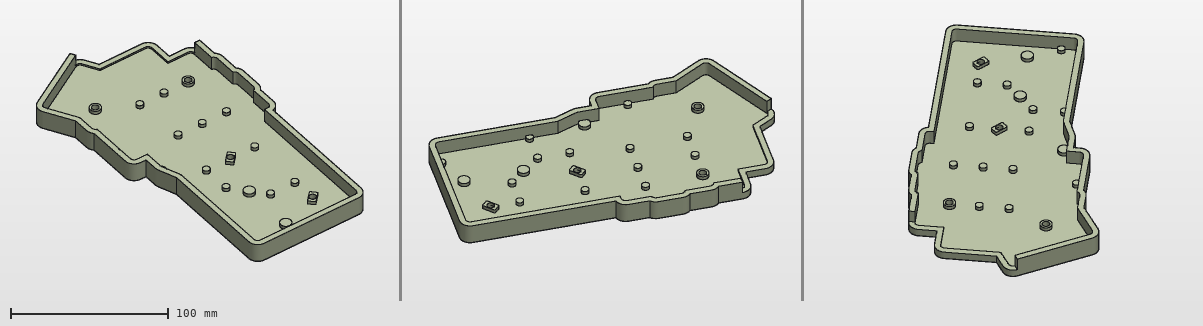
import cadquery as cq
import math

SCREW_HOLE_BOTTOM = 2.0
FLOOR_TOP = 4.1
LOW_WALL_TOP = 5.4
SUPPORT_TOP = 6.6
TRAY_HEIGHT = 14.1

WALL = 4.0
CAVITY_RADIUS = 3.0
OUTER_RADIUS = CAVITY_RADIUS + WALL

TRAY_LENGTH = 222.55
LEFT_COLUMN_X = 16.3
SECOND_COLUMN_X = 36.3
THIRD_COLUMN_X = 57.4
CROWN_LEFT_X = 76.7
CROWN_RIGHT_X = 98.8
CROWN_BLOCK_RIGHT_X = 117.9
ARM_LEFT_STEP_X = 70.5
ARM_RIGHT_X = 108.9
RIGHT_X = TRAY_LENGTH - WALL

TRAY_DEPTH = 126.85
CROWN_Y = TRAY_DEPTH - WALL
CROWN_BLOCK_Y = 120.65
SECOND_COLUMN_Y = 118.2
RIGHT_BLOCK_Y = 115.3
LEFT_COLUMN_Y = 99.4
RIGHT_FRONT_Y = 35.0
RAMP_FRONT_Y = 29.65
ARM_FRONT_Y = 18.4
ARM_LEFT_STEP_Y = 16.25

RAMP_START_X = 123.5
RAMP_END_X = 137.5

THUMB_ANGLE = math.radians(30)
THUMB_CORNER = (OUTER_RADIUS, 51.8)
THUMB_SIDE = (THUMB_CORNER[1] - OUTER_RADIUS) / math.cos(THUMB_ANGLE)
THUMB_REACH = 35.0

OVERLAP_X = 60.0
OVERLAP_Y = 60.0

POST_DIAMETER = 5.0
PAD_DIAMETER = 7.8
SCREW_HOLE_DIAMETER = 4.8

KEY_PITCH = 19.05
COLUMN_A_X = 59.2
COLUMN_B_X = COLUMN_A_X + 2 * KEY_PITCH
COLUMN_C_X = COLUMN_B_X + 2 * KEY_PITCH
COLUMN_D_X = COLUMN_C_X + 2.25 * KEY_PITCH
COLUMN_E_X = COLUMN_D_X + KEY_PITCH
COLUMN_A_Y = 60.4
COLUMN_B_Y = 62.4
COLUMN_C_Y = 56.6
MIDDLE_POST_X = 156.45

POSTS = [
    (COLUMN_A_X, COLUMN_A_Y),
    (COLUMN_A_X, COLUMN_A_Y + KEY_PITCH),
    (COLUMN_B_X, COLUMN_B_Y),
    (COLUMN_B_X, COLUMN_B_Y + KEY_PITCH),
    (COLUMN_B_X, COLUMN_B_Y + 2 * KEY_PITCH),
    (COLUMN_C_X, COLUMN_C_Y),
    (COLUMN_C_X, COLUMN_C_Y + 2 * KEY_PITCH),
    (COLUMN_D_X, COLUMN_C_Y + KEY_PITCH),
    (COLUMN_D_X, COLUMN_C_Y + 2 * KEY_PITCH),
    (MIDDLE_POST_X, COLUMN_C_Y),
    (MIDDLE_POST_X, 36.5),
    (87.8, 20.7),
    (216.4, 45.6),
]
PAD_Y = 66.15
PADS = [(168.3, PAD_Y), (207.3, PAD_Y), (119.3, 32.5)]
SCREW_RINGS = [(COLUMN_A_X, COLUMN_A_Y + 2 * KEY_PITCH), (45.7, 35.25)]

SCREW_BLOCKS = [
    (COLUMN_C_X, COLUMN_C_Y + KEY_PITCH),
    (COLUMN_E_X, COLUMN_C_Y + 2 * KEY_PITCH),
]
BLOCK_LENGTH = 9.2
BLOCK_WIDTH = 5.4
BLOCK_RADIUS = 0.6
BLOCK_ANGLE = -45


def rectangle(x_min, y_min, x_max, y_max):
    return [(x_min, y_min), (x_max, y_min), (x_max, y_max), (x_min, y_max)]


def thumb_outline():
    """Corners of the turned thumb rectangle."""
    cos_a = math.cos(THUMB_ANGLE)
    sin_a = math.sin(THUMB_ANGLE)
    r = CAVITY_RADIUS

    def turned(inward, along):
        x = THUMB_CORNER[0] + inward * cos_a + along * sin_a
        y = THUMB_CORNER[1] + inward * sin_a - along * cos_a
        return (x, y)

    far_side = THUMB_SIDE + r
    return [turned(-r, -r), turned(-r, far_side), turned(THUMB_REACH, far_side), turned(THUMB_REACH, -r)]


def ramp_outline():
    """Block whose front side has the slope between the arm and the right block."""
    slope = (RIGHT_FRONT_Y - RAMP_FRONT_Y) / (RAMP_END_X - RAMP_START_X)
    overlap = 4 * CAVITY_RADIUS
    inner_x = RAMP_END_X + overlap
    inner_y = RIGHT_FRONT_Y + slope * (inner_x - RAMP_END_X)
    left_x = ARM_RIGHT_X - overlap
    return [
        (left_x, RAMP_FRONT_Y),
        (RAMP_START_X, RAMP_FRONT_Y),
        (inner_x, inner_y),
        (inner_x, OVERLAP_Y),
        (left_x, OVERLAP_Y),
    ]


CAVITY_BLOCKS = [
    rectangle(SECOND_COLUMN_X, ARM_LEFT_STEP_Y, ARM_LEFT_STEP_X, SECOND_COLUMN_Y),
    rectangle(LEFT_COLUMN_X, THUMB_CORNER[1] - OUTER_RADIUS, OVERLAP_X, LEFT_COLUMN_Y),
    rectangle(OVERLAP_X, ARM_FRONT_Y, ARM_RIGHT_X, RIGHT_BLOCK_Y),
    rectangle(THIRD_COLUMN_X, OVERLAP_Y, CROWN_BLOCK_RIGHT_X, CROWN_BLOCK_Y),
    rectangle(CROWN_LEFT_X, OVERLAP_Y, CROWN_RIGHT_X, CROWN_Y),
    rectangle(ARM_RIGHT_X, RIGHT_FRONT_Y, RIGHT_X, RIGHT_BLOCK_Y),
    ramp_outline(),
    thumb_outline(),
]


def merged_blocks(margin, z_bottom, z_top):
    """Union of the cavity blocks, each grown by a margin, from z_bottom to z_top."""
    merged = None
    for corners in CAVITY_BLOCKS:
        block = (
            cq.Workplane("XY", origin=(0, 0, z_bottom))
            .polyline(corners)
            .close()
            .offset2D(-CAVITY_RADIUS)
            .offset2D(CAVITY_RADIUS + margin, "arc")
            .extrude(z_top - z_bottom)
        )
        merged = block if merged is None else merged.union(block)
    return merged.clean()


def low_wall_cut():
    """Space above the low wall, from the second column round to the thumb block."""
    straight_x = SECOND_COLUMN_X + CAVITY_RADIUS
    outside_x = -WALL
    slope = math.tan(THUMB_ANGLE)

    def end_line_y(x):
        return THUMB_CORNER[1] + slope * (x - THUMB_CORNER[0])

    return (
        cq.Workplane("XY", origin=(0, 0, LOW_WALL_TOP))
        .polyline([
            (straight_x, end_line_y(straight_x)),
            (straight_x, TRAY_DEPTH),
            (outside_x, TRAY_DEPTH),
            (outside_x, end_line_y(outside_x)),
        ])
        .close()
        .extrude(TRAY_HEIGHT - LOW_WALL_TOP)
    )


def cylinders(places, diameter, z_bottom):
    """Cylinders from z_bottom up to the top of the supports."""
    return (
        cq.Workplane("XY", origin=(0, 0, z_bottom))
        .pushPoints(places)
        .circle(diameter / 2)
        .extrude(SUPPORT_TOP - z_bottom)
    )


def screw_block(place):
    height = SUPPORT_TOP - FLOOR_TOP
    return (
        cq.Workplane("XY")
        .box(BLOCK_LENGTH, BLOCK_WIDTH, height, centered=(True, True, False))
        .edges("|Z")
        .fillet(BLOCK_RADIUS)
        .rotate((0, 0, 0), (0, 0, 1), BLOCK_ANGLE)
        .translate((place[0], place[1], FLOOR_TOP))
    )


tray = merged_blocks(WALL, 0, TRAY_HEIGHT)
tray = tray.cut(merged_blocks(0, FLOOR_TOP, TRAY_HEIGHT))
tray = tray.cut(low_wall_cut())

tray = tray.union(cylinders(POSTS, POST_DIAMETER, FLOOR_TOP))
tray = tray.union(cylinders(PADS + SCREW_RINGS, PAD_DIAMETER, FLOOR_TOP))
for block_place in SCREW_BLOCKS:
    tray = tray.union(screw_block(block_place))

result = tray.cut(cylinders(SCREW_RINGS + SCREW_BLOCKS, SCREW_HOLE_DIAMETER, SCREW_HOLE_BOTTOM))